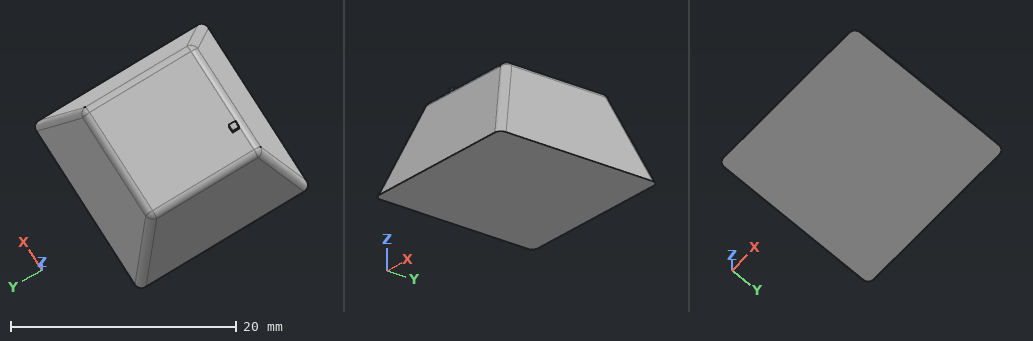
import cadquery as cq
import math

base_side = 18.0
body_height = 9.0
top_side = 11.66
edge_radius = 0.75
mark_width = 0.67
mark_offset_x = -2.66
mark_depth = 0.72
mark_height = 0.5
mark_setback = 0.05

side_run = (base_side - top_side) / 2
side_lean = math.atan(side_run / body_height)
rim_trim = edge_radius * math.tan((math.pi / 2 - side_lean) / 2)
flat_half = top_side / 2 - rim_trim


def make_body():
    """Solid square frustum with rounded sloping corners and top rim."""
    frustum = (
        cq.Workplane("XY")
        .rect(base_side, base_side)
        .workplane(offset=body_height)
        .rect(top_side, top_side)
        .loft(ruled=True)
    )
    return frustum.edges("not <Z").fillet(edge_radius)


def make_mark():
    """Small raised block standing near the front border of the flat top."""
    mark_offset_y = mark_depth / 2 + mark_setback - flat_half
    return (
        cq.Workplane("XY", origin=(mark_offset_x, mark_offset_y, body_height))
        .rect(mark_width, mark_depth)
        .extrude(mark_height)
    )


result = make_body().union(make_mark())